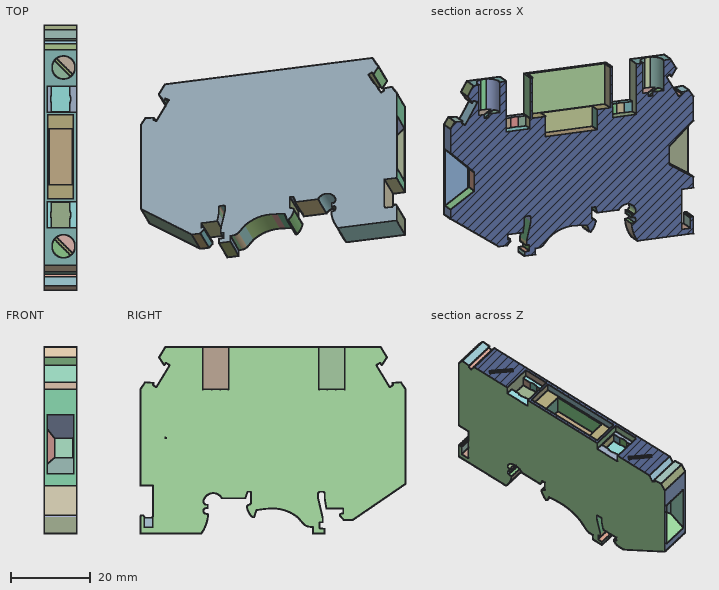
import cadquery as cq

thickness = 8.2
length = 66.5
height = 46.8
end_y = length / 2

shoulder_z = 36.2
slant_top_z = 12.45
hook_z = 3.4
hook_roof_z = 6.25
slit_roof_z = 10.45
rail_roof_z = 8.85
foot_outer_y = 13.0
foot_inner_y = 10.0
foot_neck_y = 11.7
foot_back_y = 12.5
slit_y = 11.3
tongue_root_y = -5.5
latch_y = -16.35
side_notch_y = -30.1
side_notch_top_z = 12.05
side_notch_bottom_z = 4.0
side_lip_z = 4.6
side_lip_front_z = 4.2

side_plate = 0.8
low_floor_z = 1.6
side_lip_thickness = 0.9

marker_groove = [
    (1.2, 38.0),
    (3.4, 37.8),
    (3.2, 37.25),
    (4.0, 36.7),
    (7.3, 42.2),
    (6.4, 42.75),
    (6.0, 42.15),
    (4.65, 44.15),
    (6.25, height),
]

top_mid_y = 0.2

well_diameter = 5.8
well_x = 4.85
well_offset = 22.4
well_depth = 8.0
well_wall_x = 7.65
driver_slot_width = 0.7
driver_slot_depth = 1.0
driver_slot_angle = -45

recess_wall = 0.8
recess_offset = 14.5
recess_length = 6.5
recess_depth = 10.65
contact_width = 4.6
contact_ledge = 0.1
contact_diameter = 5.05
contact_x = 4.1
contact_depth = 2.65

pocket_x = 4.1
pocket_width = 6.4
pocket_length = 21.1
pocket_depth = 10.65
pocket_floor_width = 5.7
pocket_floor_length = 14.0
pocket_floor_depth = 5.3

funnel_depth = 6.5
near_straight = 4.0
far_straight = 6.25
mouth_x = (0.8, 7.45)
mouth_z = (14.95, 29.8)
throat_x = (2.6, 7.2)
throat_z = (19.0, 23.9)


def draw_top(outline):
    """From the -Y end over the top edge to the lower corner of the +Y end."""
    outline = outline.lineTo(-end_y, shoulder_z)
    for inset, z in marker_groove:
        outline = outline.lineTo(-end_y + inset, z)
    for inset, z in reversed(marker_groove):
        outline = outline.lineTo(end_y - inset, z)
    return outline.lineTo(end_y, shoulder_z).lineTo(end_y, slant_top_z)


def draw_rail_hook(outline):
    """Slanted underside and the fixed hook that grips the rail."""
    return (
        outline.lineTo(20.0, hook_z)
        .lineTo(17.75, hook_z)
        .lineTo(16.75, 4.45)
        .lineTo(16.8, 5.0)
        .lineTo(17.55, 5.05)
        .lineTo(17.55, hook_roof_z)
        .lineTo(13.35, hook_roof_z)
    )


def draw_spring_foot(outline):
    """Slit behind the spring foot, then the stepped foot itself."""
    return (
        outline.lineTo(foot_outer_y, 8.5)
        .lineTo(foot_outer_y, 10.0)
        .threePointArc((12.85, 10.3), (12.5, slit_roof_z))
        .lineTo(11.8, slit_roof_z)
        .threePointArc((11.45, 10.3), (slit_y, 10.0))
        .lineTo(slit_y, 9.0)
        .lineTo(foot_back_y, 3.85)
        .lineTo(foot_back_y, 2.8)
        .lineTo(foot_neck_y, 2.8)
        .lineTo(foot_neck_y, 1.3)
        .lineTo(foot_outer_y, 1.2)
        .lineTo(foot_outer_y, 0)
        .lineTo(foot_inner_y, 0)
        .lineTo(foot_inner_y, 1.6)
    )


def draw_arch_and_tongue(outline):
    """Arch between the feet, ending in the pointed spring tongue."""
    return (
        outline.lineTo(9.05, 1.65)
        .threePointArc((8.4, 1.85), (7.8, 2.25))
        .lineTo(6.2, 4.05)
        .threePointArc((3.2, 5.7), (-0.65, 6.25))
        .lineTo(-2.2, 6.1)
        .lineTo(-4.1, 5.85)
        .lineTo(-4.65, 4.25)
        .threePointArc((-4.85, 4.05), (-5.1, 4.05))
        .threePointArc((-6.1, 5.3), (-6.6, 6.7))
        .threePointArc((-6.4, 7.05), (-6.0, 7.25))
        .lineTo(tongue_root_y, 7.5)
        .lineTo(tongue_root_y, slit_roof_z)
        .lineTo(-6.4, slit_roof_z)
        .lineTo(-6.9, rail_roof_z)
    )


def draw_latch_foot(outline):
    """Rounded relief, the two-step latch and the large -Y foot."""
    return (
        outline.lineTo(-12.85, rail_roof_z)
        .threePointArc((-15.1, 10.1), (-17.35, 8.4))
        .threePointArc((-17.35, 7.7), (-16.9, 7.25))
        .lineTo(latch_y, 7.25)
        .lineTo(latch_y, 6.4)
        .lineTo(-17.1, 6.3)
        .threePointArc((-17.4, 5.7), (-17.1, 5.05))
        .lineTo(-16.2, 4.85)
        .threePointArc((-16.75, 2.25), (-17.95, 0))
        .lineTo(-end_y, 0)
    )


def draw_side_notch(outline):
    """Lipped notch in the -Y end."""
    return (
        outline.lineTo(-end_y, side_lip_front_z)
        .threePointArc((-33.1, 4.5), (-32.7, side_lip_z))
        .lineTo(-32.6, side_lip_z)
        .lineTo(-32.05, side_notch_bottom_z)
        .lineTo(-30.5, side_notch_bottom_z)
        .threePointArc((-30.25, 4.1), (side_notch_y, 4.4))
        .lineTo(side_notch_y, side_notch_top_z)
    )


def make_body():
    outline = cq.Workplane("YZ").moveTo(-end_y, side_notch_top_z)
    for draw in (
        draw_top,
        draw_rail_hook,
        draw_spring_foot,
        draw_arch_and_tongue,
        draw_latch_foot,
        draw_side_notch,
    ):
        outline = draw(outline)
    return outline.close().extrude(thickness)


def box_between(x_range, y_range, z_range):
    size = [high - low for low, high in (x_range, y_range, z_range)]
    corner = (x_range[0], y_range[0], z_range[0])
    return cq.Workplane("XY").box(*size, centered=False).translate(corner)


def screw_well(side):
    """Round well with a flat +X side and a slotted screw head at its floor."""
    y = top_mid_y + side * well_offset
    floor_z = height - well_depth
    bottom_z = floor_z - driver_slot_depth
    column = (
        cq.Workplane("XY", origin=(well_x, y, bottom_z))
        .circle(well_diameter / 2)
        .extrude(well_depth + driver_slot_depth)
    )
    well = column.intersect(box_between((0, well_wall_x), (-end_y, end_y), (floor_z, height)))
    slot = (
        cq.Workplane("XY", origin=(well_x, y, bottom_z))
        .transformed(rotate=(0, 0, driver_slot_angle))
        .rect(well_diameter, driver_slot_width)
        .extrude(driver_slot_depth)
    )
    slot = slot.intersect(column)
    return well.union(slot)


def lowered_notch_floor():
    """Extra depth under the -Y notch, between the lip and the back wall."""
    return box_between(
        (side_plate, thickness),
        (-end_y + side_lip_thickness, side_notch_y),
        (low_floor_z, side_notch_top_z),
    )


def side_recess(side):
    """Recess open to +X, with a contact slot and bore sunk in its floor."""
    centre_y = top_mid_y + side * recess_offset
    floor_z = height - recess_depth
    recess = box_between(
        (recess_wall, thickness),
        (centre_y - recess_length / 2, centre_y + recess_length / 2),
        (floor_z, height),
    )
    contact_plane = cq.Workplane("XY", origin=(contact_x, centre_y, floor_z))
    slot = (
        contact_plane.center(0, side * contact_ledge / 2)
        .rect(contact_width, recess_length - contact_ledge)
        .extrude(-contact_depth)
    )
    bore = contact_plane.circle(contact_diameter / 2).extrude(-contact_depth)
    return recess.union(slot).union(bore)


def centre_pocket():
    """Long pocket that steps in to a smaller one."""
    upper = (
        cq.Workplane("XY", origin=(pocket_x, top_mid_y, height))
        .rect(pocket_width, pocket_length)
        .extrude(-pocket_depth)
    )
    lower = (
        cq.Workplane("XY", origin=(pocket_x, top_mid_y, height - pocket_depth))
        .rect(pocket_floor_width, pocket_floor_length)
        .extrude(-pocket_floor_depth)
    )
    return upper.union(lower)


def wire_funnel():
    """Funnel in the -Y end.

    Roof and floor converge all the way, side walls only further in.
    """
    mouth_y = -end_y
    throat_y = mouth_y + funnel_depth
    side_shape = (
        cq.Workplane("YZ")
        .polyline([
            (mouth_y, mouth_z[0]),
            (throat_y, throat_z[0]),
            (throat_y, throat_z[1]),
            (mouth_y, mouth_z[1]),
        ])
        .close()
        .extrude(thickness)
    )
    plan_shape = (
        cq.Workplane("XY")
        .polyline([
            (mouth_x[0], mouth_y),
            (mouth_x[0], mouth_y + near_straight),
            (throat_x[0], throat_y),
            (throat_x[1], throat_y),
            (mouth_x[1], mouth_y + far_straight),
            (mouth_x[1], mouth_y),
        ])
        .close()
        .extrude(height)
    )
    return side_shape.intersect(plan_shape)


funnel = wire_funnel()
result = make_body().cut(centre_pocket()).cut(funnel).cut(funnel.mirror("XZ")).cut(lowered_notch_floor())
for side in (-1, 1):
    result = result.cut(screw_well(side)).cut(side_recess(side))